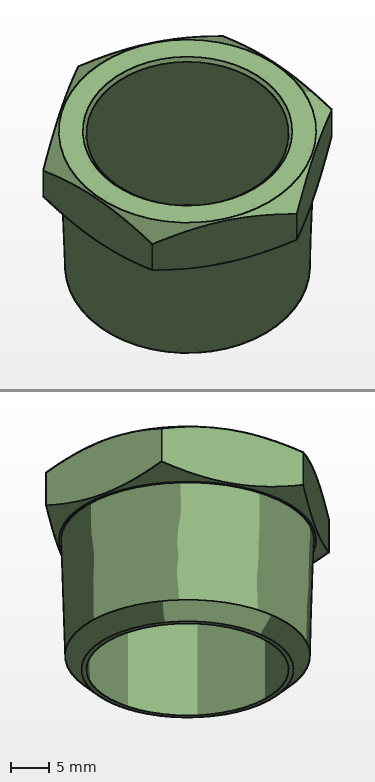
import cadquery as cq
import math

hex_corner_diameter = 39.25
total_height = 27.0
hex_height = 8.1

hex_face_diameter = 33.53
hex_chamfer_angle = 30.0

body_top_diameter = 32.98
body_bottom_diameter = 31.95
end_chamfer_height = 2.05
end_face_diameter = 27.65

bore_diameter = 26.35
bore_mouth_diameter = 27.3

hex_bottom = total_height - hex_height


def revolve_profile(points):
    """Turn a closed (radius, height) outline around the Z axis."""
    return cq.Workplane("XZ").polyline(points).close().revolve(360, (0, 0), (0, 1))


def make_hex_head():
    corner_radius = hex_corner_diameter / 2
    face_radius = hex_face_diameter / 2
    chamfer_drop = (corner_radius - face_radius) * math.tan(math.radians(hex_chamfer_angle))
    prism = (
        cq.Workplane("XY")
        .workplane(offset=hex_bottom)
        .polygon(6, hex_corner_diameter)
        .extrude(hex_height)
    )
    chamfer_envelope = revolve_profile([
        (0, hex_bottom),
        (face_radius, hex_bottom),
        (corner_radius, hex_bottom + chamfer_drop),
        (corner_radius, total_height - chamfer_drop),
        (face_radius, total_height),
        (0, total_height),
    ])
    return prism.intersect(chamfer_envelope)


def make_tapered_body():
    return revolve_profile([
        (0, 0),
        (end_face_diameter / 2, 0),
        (body_bottom_diameter / 2, end_chamfer_height),
        (body_top_diameter / 2, hex_bottom),
        (0, hex_bottom),
    ])


def make_bore():
    bore_radius = bore_diameter / 2
    mouth_radius = bore_mouth_diameter / 2
    mouth_depth = mouth_radius - bore_radius
    return revolve_profile([
        (0, 0),
        (bore_radius, 0),
        (bore_radius, total_height - mouth_depth),
        (mouth_radius, total_height),
        (0, total_height),
    ])


result = make_hex_head().union(make_tapered_body()).cut(make_bore())